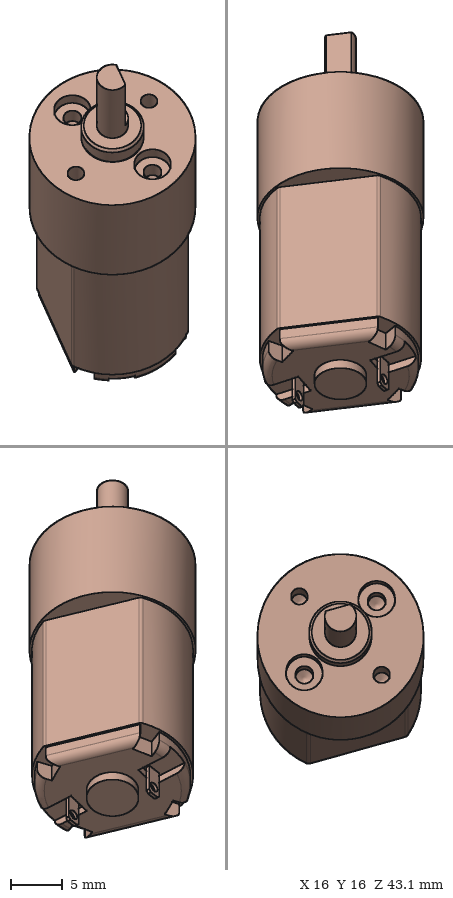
import cadquery as cq
import math

total_length = 43.1
shaft_reach = 10.0
gearbox_length = 11.6
motor_length = 17.0
cap_length = 2.0
motor_top = -gearbox_length
cap_top = motor_top - motor_length
cap_bottom = cap_top - cap_length
part_bottom = shaft_reach - total_length

gearbox_diameter = 16.0
boss_diameter = 6.05
boss_height = 2.0
boss_top_chamfer = 0.25
boss_bottom_chamfer = 0.15

shaft_diameter = 3.0
flat_depth = 0.65
flat_length = 6.8

drill_point_angle = 118.0
mount_hole_diameter = 1.6
mount_hole_radius = 5.5
mount_hole_angle = 120.0
mount_hole_depth = 3.0
screw_hole_diameter = 1.72
screw_hole_radius = 5.0
screw_hole_angle = 30.0
screw_hole_depth = 3.0
counterbore_diameter = 3.55
counterbore_depth = 1.3

motor_diameter = 15.5
motor_thickness = 12.0
motor_edge_radius = 0.5
cap_diameter = 15.0
cap_thickness = 11.55
cap_edge_radius = 0.9
rear_boss_diameter = 5.0
rear_boss_height = 1.0

slot_width = 2.05
slot_floor_radius = 5.9
slot_angle = 42.0

terminal_x = 4.25
terminal_y = 0.5
terminal_tilt = 23.0
terminal_width = 1.42
terminal_thickness = 0.35
terminal_chamfer = 0.25
terminal_hole_diameter = 1.0
terminal_hole_height = 1.05
pocket_tilt = 17.0
pocket_offset = 0.47
pocket_width = 2.55
pocket_wall_distance = 3.65
pocket_top = cap_bottom + cap_edge_radius
terminal_embed = 0.45


def cylinder(diameter, bottom, height):
    return cq.Workplane("XY").workplane(offset=bottom).circle(diameter / 2).extrude(height)


def flatted_cylinder(diameter, thickness, bottom, height):
    """Cylinder trimmed by two planes facing -Y and +Y."""
    slab = cq.Workplane("XY", origin=(0, 0, bottom)).rect(diameter, thickness).extrude(height)
    return cylinder(diameter, bottom, height).intersect(slab)


def drilled_hole(diameter, depth, radius, angle):
    """Blind hole from the mounting face, with a conical end, placed by polar coordinates."""
    hole_radius = diameter / 2
    cone_height = hole_radius / math.tan(math.radians(drill_point_angle / 2))
    profile = [(0, 0), (hole_radius, 0), (hole_radius, -depth), (0, -depth - cone_height)]
    hole = cq.Workplane("XZ").polyline(profile).close().revolve(360, (0, 0), (0, 1))
    return hole.translate((radius, 0, 0)).rotate((0, 0, 0), (0, 0, 1), angle)


def make_gearbox():
    gearbox = cylinder(gearbox_diameter, motor_top, gearbox_length)
    for half_turn in (0, 180):
        screw_angle = screw_hole_angle + half_turn
        counterbore = cylinder(counterbore_diameter, -counterbore_depth, counterbore_depth)
        counterbore = counterbore.translate((screw_hole_radius, 0, 0))
        gearbox = gearbox.cut(counterbore.rotate((0, 0, 0), (0, 0, 1), screw_angle))
        gearbox = gearbox.cut(
            drilled_hole(screw_hole_diameter, screw_hole_depth, screw_hole_radius, screw_angle)
        )
        mount_angle = mount_hole_angle + half_turn
        gearbox = gearbox.cut(
            drilled_hole(mount_hole_diameter, mount_hole_depth, mount_hole_radius, mount_angle)
        )
    return gearbox


def make_output():
    """Bearing boss with the D shaft standing on it."""
    boss = cylinder(boss_diameter, 0, boss_height)
    boss = boss.faces(">Z").chamfer(boss_top_chamfer)
    boss = boss.faces("<Z").chamfer(boss_bottom_chamfer)
    shaft = cylinder(shaft_diameter, 0, shaft_reach)
    flat_cut = (
        cq.Workplane("XY", origin=(0, shaft_diameter / 2 - flat_depth, shaft_reach - flat_length))
        .box(shaft_diameter, shaft_diameter, flat_length, centered=(True, False, False))
    )
    return boss.union(shaft.cut(flat_cut))


def make_motor():
    can = flatted_cylinder(motor_diameter, motor_thickness, cap_top, motor_length)
    return can.edges("|Z").edges("<Y or >Y").fillet(motor_edge_radius)


def make_cap():
    cap = flatted_cylinder(cap_diameter, cap_thickness, cap_bottom, cap_length)
    cap = cap.faces("<Z").edges().fillet(cap_edge_radius)
    slot = (
        cq.Workplane("XY", origin=(slot_floor_radius, 0, cap_bottom))
        .box(cap_diameter, slot_width, cap_length, centered=(False, True, False))
    )
    for angle in (slot_angle, 180 - slot_angle, 180 + slot_angle, -slot_angle):
        cap = cap.cut(slot.rotate((0, 0, 0), (0, 0, 1), angle))
    pocket = (
        cq.Workplane("XY", origin=(pocket_wall_distance, pocket_offset, cap_bottom))
        .box(cap_diameter, pocket_width, pocket_top - cap_bottom, centered=(False, True, False))
    )
    for half_turn in (0, 180):
        cap = cap.cut(pocket.rotate((0, 0, 0), (0, 0, 1), half_turn - pocket_tilt))
    return cap.union(cylinder(rear_boss_diameter, cap_bottom - rear_boss_height, rear_boss_height))


def make_terminal():
    """Thin solder tab at +X, turned about Z, with a round eye near its chamfered tip."""
    length = pocket_top + terminal_embed - part_bottom
    tab = cq.Workplane("XY").box(
        terminal_thickness, terminal_width, length, centered=(True, True, False)
    )
    tab = tab.faces("<Z").edges("|X").chamfer(terminal_chamfer)
    eye = (
        cq.Workplane("YZ").center(0, terminal_hole_height)
        .circle(terminal_hole_diameter / 2).extrude(terminal_thickness, both=True)
    )
    tab = tab.cut(eye).rotate((0, 0, 0), (0, 0, 1), -terminal_tilt)
    return tab.translate((terminal_x, -terminal_y, part_bottom))


result = make_gearbox().union(make_output()).union(make_motor()).union(make_cap())
for half_turn in (0, 180):
    result = result.union(make_terminal().rotate((0, 0, 0), (0, 0, 1), half_turn))